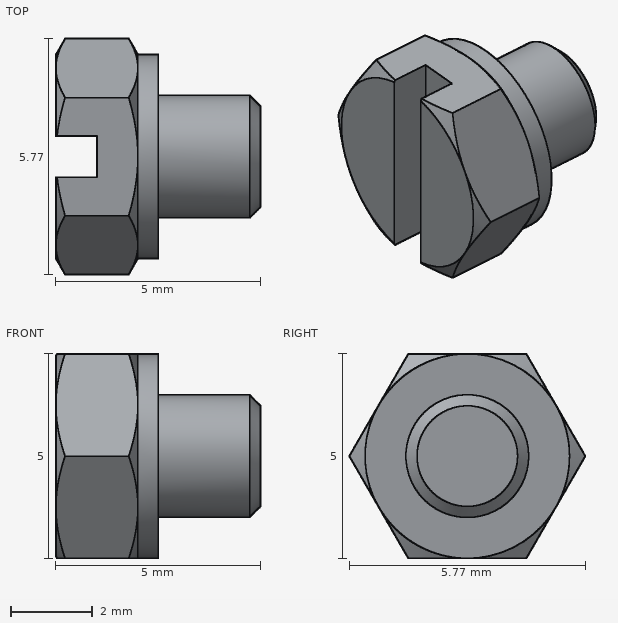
import cadquery as cq
import math

across_corners = 5.77
across_flats = across_corners * math.cos(math.radians(30))
total_length = 5.0
head_height = 2.0
collar_thickness = 0.5
collar_diameter = across_flats
shank_diameter = 3.0
tip_chamfer = 0.27
slot_width = 1.0
slot_depth = 1.0
corner_bevel_angle = 30.0


def cylinder_along_x(diameter, start, end):
    return cq.Workplane("YZ", origin=(start, 0, 0)).circle(diameter / 2).extrude(end - start)


def make_head():
    """Hexagonal prism with its corners bevelled by cones at both faces."""
    hexagon = cq.Workplane("YZ").polygon(6, across_corners).extrude(head_height)
    corner_radius = across_corners / 2
    face_radius = across_flats / 2
    bevel_height = (corner_radius - face_radius) * math.tan(math.radians(corner_bevel_angle))
    bevel_envelope = (
        cq.Workplane("XY")
        .moveTo(0, 0)
        .lineTo(0, face_radius)
        .lineTo(bevel_height, corner_radius)
        .lineTo(head_height - bevel_height, corner_radius)
        .lineTo(head_height, face_radius)
        .lineTo(head_height, 0)
        .close()
        .revolve(360, (0, 0, 0), (1, 0, 0))
    )
    return hexagon.intersect(bevel_envelope)


def make_slot():
    """Screwdriver slot running along Z across the whole head face."""
    return cq.Workplane("XY").box(
        slot_depth, slot_width, across_corners, centered=(False, True, True)
    )


collar_end = head_height + collar_thickness
collar = cylinder_along_x(collar_diameter, head_height, collar_end)
shank = cylinder_along_x(shank_diameter, collar_end, total_length).faces(">X").chamfer(tip_chamfer)

result = make_head().union(collar).union(shank).cut(make_slot())